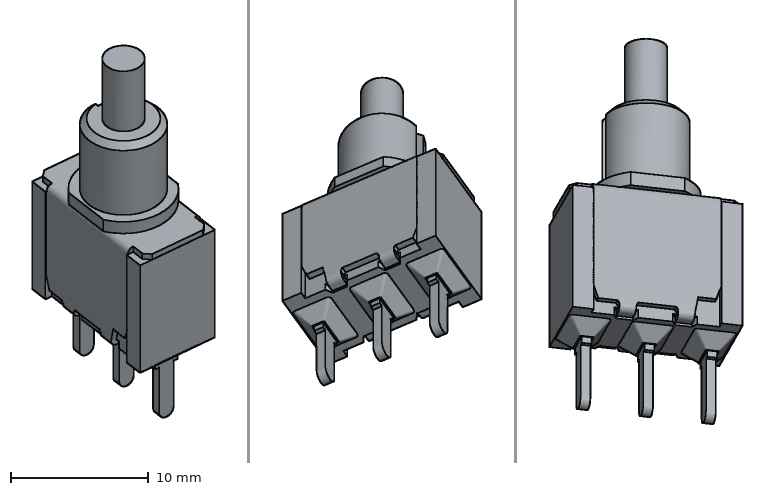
import cadquery as cq
import math


TOTAL_HEIGHT = 29.7
HOUSING_LENGTH = 12.7
HOUSING_WIDTH = 6.9
HOUSING_HEIGHT = 9.83

PIN_REACH = 6.4
PIN_PITCH = 4.7
PIN_THICKNESS = 0.75
PIN_WIDTH = 1.35
SHOULDER_WIDTH = 2.05
SHOULDER_REACH = 1.6
MOUND_HEIGHT = 1.1
MOUND_LENGTH = 3.15
MOUND_WIDTH = 4.33
MOUND_CORNER_RADIUS = 0.27
MOUND_END_LENGTH = 1.0
MOUND_END_WIDTH = 2.25

SHEET = 0.5
FRAME_LENGTH = 9.55
FRAME_SETBACK = 0.1
FRAME_HALF_WIDTH = HOUSING_WIDTH / 2 - FRAME_SETBACK
CHANNEL_FLOOR = FRAME_HALF_WIDTH - SHEET
PLATE_CORNER = 0.5
PLATE_TOP = HOUSING_HEIGHT + SHEET

SIDE_EDGE_LOW = 0.98
SIDE_EDGE_HIGH = 1.95
SIDE_CORNER_RISE = 1.05
SIDE_CORNER_RUN = 0.35
STEP_START = 3.05
TAB_ROOT_FLARE = 0.15

TAB_OFFSET = 2.2
TAB_WIDTH = 1.25
TAB_BEND_TOP = 0.7
TAB_UNDERSIDE = TAB_BEND_TOP - SHEET
NOTCH_HEIGHT = 0.62
NOTCH_DEPTH = 0.5
NOTCH_MOUTH = 1.8

WASHER_DIAMETER = 8.0
WASHER_THICKNESS = 1.07
WASHER_TOP = PLATE_TOP + WASHER_THICKNESS
BUSHING_DIAMETER = 6.35
BUSHING_HEIGHT = 6.38
BUSHING_CHAMFER = 0.5
KEYWAY_WIDTH = 1.0
KEYWAY_DEPTH = 0.83
PLUNGER_DIAMETER = 3.1
PLUNGER_TOP = TOTAL_HEIGHT - PIN_REACH

BOTH_SIDES = (-1, 1)


def at_height(z):
    return cq.Workplane("XY", origin=(0, 0, z))


def channel(side):
    """Shallow recess along one long side of the housing."""
    depth = HOUSING_WIDTH / 2 - CHANNEL_FLOOR
    return (
        at_height(0)
        .center(0, side * (CHANNEL_FLOOR + depth / 2))
        .rect(FRAME_LENGTH, depth)
        .extrude(HOUSING_HEIGHT)
    )


def notch(x, side):
    """Recess in the channel floor that narrows inward to the width of a tab."""
    mouth = side * CHANNEL_FLOOR
    back = side * (CHANNEL_FLOOR - NOTCH_DEPTH)
    outline = [
        (x - NOTCH_MOUTH / 2, mouth),
        (x + NOTCH_MOUTH / 2, mouth),
        (x + TAB_WIDTH / 2, back),
        (x - TAB_WIDTH / 2, back),
    ]
    return at_height(0).polyline(outline).close().extrude(NOTCH_HEIGHT)


def mound(x):
    """Rounded pyramid of sealant around one terminal."""
    top = cq.Sketch().rect(MOUND_LENGTH, MOUND_WIDTH).vertices().fillet(MOUND_CORNER_RADIUS)
    end_ratio = MOUND_END_LENGTH / MOUND_LENGTH
    end = (
        cq.Sketch()
        .rect(MOUND_END_LENGTH, MOUND_END_WIDTH)
        .vertices()
        .fillet(MOUND_CORNER_RADIUS * end_ratio)
    )
    down = cq.Location(cq.Vector(0, 0, -MOUND_HEIGHT))
    return cq.Workplane("XY").placeSketch(top, end.moved(down)).loft().translate((x, 0, 0))


def terminal(x):
    """Flat pin with a shoulder and a fully rounded tip."""
    half_width = PIN_WIDTH / 2
    half_shoulder = SHOULDER_WIDTH / 2
    tip_start = half_width - PIN_REACH
    return (
        cq.Workplane("YZ", origin=(x, 0, 0))
        .moveTo(-half_shoulder, 0)
        .lineTo(-half_shoulder, -SHOULDER_REACH)
        .lineTo(-half_width, -SHOULDER_REACH)
        .lineTo(-half_width, tip_start)
        .threePointArc((0, -PIN_REACH), (half_width, tip_start))
        .lineTo(half_width, -SHOULDER_REACH)
        .lineTo(half_shoulder, -SHOULDER_REACH)
        .lineTo(half_shoulder, 0)
        .close()
        .extrude(PIN_THICKNESS / 2, both=True)
    )


def make_housing():
    """Housing block with its three terminals."""
    body = at_height(0).rect(HOUSING_LENGTH, HOUSING_WIDTH).extrude(HOUSING_HEIGHT)
    for side in BOTH_SIDES:
        body = body.cut(channel(side))
        for x in (-TAB_OFFSET, TAB_OFFSET):
            body = body.cut(notch(x, side))
    for x in (-PIN_PITCH, 0, PIN_PITCH):
        body = body.union(mound(x)).union(terminal(x))
    return body


def top_plate():
    """Plate on top of the housing, with clipped corners."""
    return (
        at_height(HOUSING_HEIGHT)
        .rect(HOUSING_LENGTH, 2 * CHANNEL_FLOOR)
        .extrude(SHEET)
        .edges("|Z")
        .chamfer(PLATE_CORNER)
    )


def side_profile():
    """Cross-section of the front side: top bend, wall, and the curl at the bottom."""
    bend = SHEET * math.sqrt(0.5)
    tail_end = NOTCH_DEPTH - CHANNEL_FLOOR
    return (
        cq.Workplane("YZ")
        .moveTo(-CHANNEL_FLOOR, PLATE_TOP)
        .threePointArc(
            (-CHANNEL_FLOOR - bend, HOUSING_HEIGHT + bend),
            (-FRAME_HALF_WIDTH, HOUSING_HEIGHT),
        )
        .lineTo(-FRAME_HALF_WIDTH, TAB_BEND_TOP)
        .threePointArc(
            (-CHANNEL_FLOOR - bend, TAB_BEND_TOP - bend),
            (-CHANNEL_FLOOR, TAB_UNDERSIDE),
        )
        .lineTo(tail_end, TAB_UNDERSIDE)
        .lineTo(tail_end, NOTCH_HEIGHT)
        .lineTo(-CHANNEL_FLOOR, NOTCH_HEIGHT)
        .close()
        .extrude(FRAME_LENGTH / 2, both=True)
    )


def side_outline():
    """Shape of a frame side seen face on, as a block across the whole width."""
    half_length = FRAME_LENGTH / 2
    inset = half_length - SIDE_CORNER_RUN
    tab_inner = TAB_OFFSET - TAB_WIDTH / 2
    tab_outer = TAB_OFFSET + TAB_WIDTH / 2
    outline = [
        (-half_length, PLATE_TOP),
        (-half_length, SIDE_EDGE_LOW + SIDE_CORNER_RISE),
        (-inset, SIDE_EDGE_LOW),
        (-tab_outer - TAB_ROOT_FLARE, SIDE_EDGE_LOW),
        (-tab_outer, TAB_BEND_TOP),
        (-tab_outer, 0),
        (-tab_inner, 0),
        (-tab_inner, TAB_BEND_TOP),
        (-tab_inner + TAB_ROOT_FLARE, SIDE_EDGE_LOW),
        (tab_inner - TAB_ROOT_FLARE, SIDE_EDGE_LOW),
        (tab_inner, TAB_BEND_TOP),
        (tab_inner, 0),
        (tab_outer, 0),
        (tab_outer, TAB_BEND_TOP),
        (STEP_START, SIDE_EDGE_HIGH),
        (inset, SIDE_EDGE_HIGH),
        (half_length, SIDE_EDGE_HIGH + SIDE_CORNER_RISE),
        (half_length, PLATE_TOP),
    ]
    return cq.Workplane("XZ").polyline(outline).close().extrude(HOUSING_WIDTH / 2, both=True)


def washer():
    """Round washer with two flats level with the housing sides."""
    disc = at_height(PLATE_TOP).circle(WASHER_DIAMETER / 2).extrude(WASHER_THICKNESS)
    flats = at_height(PLATE_TOP).rect(WASHER_DIAMETER, HOUSING_WIDTH).extrude(WASHER_THICKNESS)
    return disc.intersect(flats)


def bushing():
    """Chamfered sleeve with a keyway down its -X side."""
    radius = BUSHING_DIAMETER / 2
    sleeve = (
        at_height(WASHER_TOP)
        .circle(radius)
        .extrude(BUSHING_HEIGHT)
        .faces(">Z")
        .chamfer(BUSHING_CHAMFER)
    )
    keyway = (
        at_height(WASHER_TOP)
        .center(-radius, 0)
        .rect(2 * KEYWAY_DEPTH, KEYWAY_WIDTH)
        .extrude(BUSHING_HEIGHT)
    )
    return sleeve.cut(keyway)


def plunger():
    return at_height(WASHER_TOP).circle(PLUNGER_DIAMETER / 2).extrude(PLUNGER_TOP - WASHER_TOP)


def make_frame():
    """Sheet-metal frame carrying the washer, bushing and plunger."""
    front_side = side_profile().intersect(side_outline())
    body = top_plate().union(front_side).union(front_side.mirror("XZ"))
    return body.union(washer()).union(bushing()).union(plunger())


housing = make_housing()
frame = make_frame()

result = cq.Compound.makeCompound([housing.val(), frame.val()])